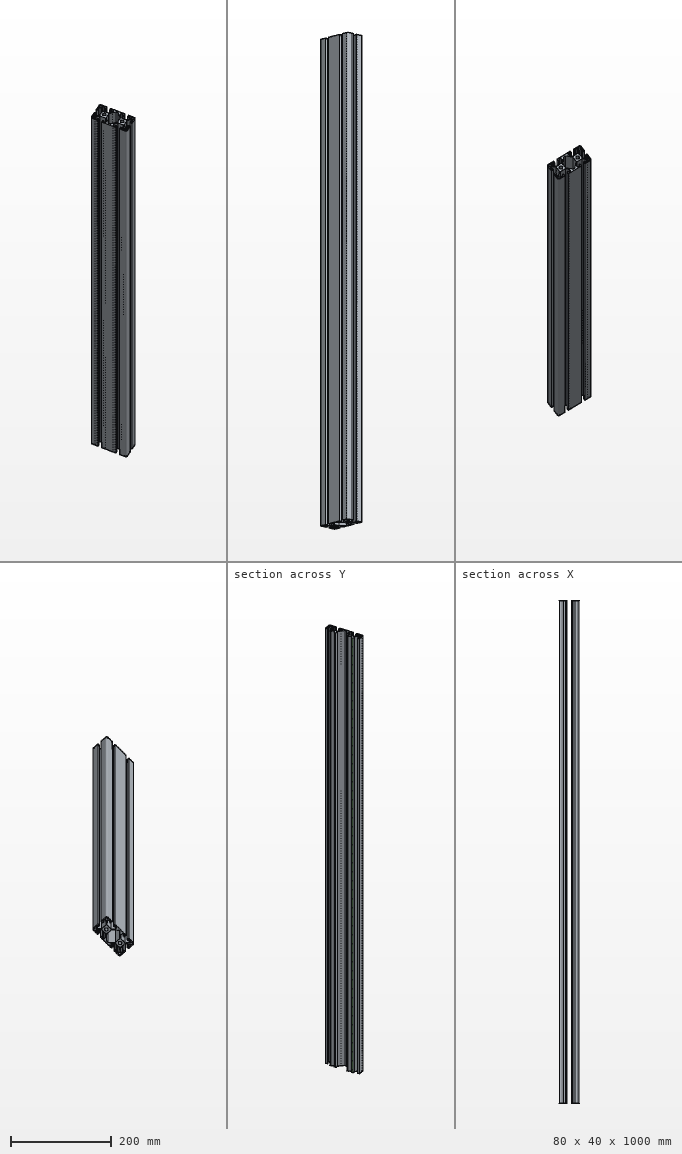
import cadquery as cq

LENGTH = 1000.0
CELL = 40.0
WIDTH = 2 * CELL
HALF_CELL = CELL / 2
EDGE_RADIUS = 3.0

MOUTH_WIDTH = 8.2
HOOK_THICKNESS = 2.9
HOOK_DEPTH = 5.0
SKIN = 2.5
SLOT_WIDTH = 23.0
SLOT_SHOULDER_DEPTH = 6.5
SLOT_FLOOR_WIDTH = 12.0

CORE = 15.0
SLOT_DEPTH = HALF_CELL - CORE / 2
CORE_BORE_DIAMETER = 6.8

CORNER_BORE_DIAMETER = 5.0
CORNER_BORE_INSET = 4.5

HOLLOW_WIDTH = 2 * SLOT_DEPTH
HOLLOW_WALL = 3.5
HOLLOW_HEIGHT = CELL - 2 * HOLLOW_WALL
HOLLOW_TOP_WIDTH = 4.0
HOLLOW_CHAMFER = (HOLLOW_WIDTH - HOLLOW_TOP_WIDTH) / 2

CELL_CENTRES = [(-HALF_CELL, 0), (HALF_CELL, 0)]


def blank():
    bar = cq.Workplane("XY").box(WIDTH, CELL, LENGTH)
    return bar.edges("|Z").fillet(EDGE_RADIUS)


def slot():
    """T-slot opening toward +Y in a cell centred on the origin."""
    mouth = MOUTH_WIDTH / 2
    hook = mouth + HOOK_THICKNESS
    side = SLOT_WIDTH / 2
    right_half = [
        (mouth, HALF_CELL),
        (mouth, HALF_CELL - HOOK_DEPTH),
        (hook, HALF_CELL - HOOK_DEPTH),
        (hook, HALF_CELL - SKIN),
        (side, HALF_CELL - SKIN),
        (side, HALF_CELL - SLOT_SHOULDER_DEPTH),
        (SLOT_FLOOR_WIDTH / 2, HALF_CELL - SLOT_DEPTH),
    ]
    left_half = [(-x, y) for x, y in reversed(right_half)]
    outline = cq.Workplane("XY").polyline(right_half + left_half).close()
    return outline.extrude(LENGTH / 2, both=True)


def cut_slots(bar):
    """One slot on every side of each cell, except where the cells meet."""
    cutter = slot()
    for centre, outer_end_angle in zip(CELL_CENTRES, (90, -90)):
        for angle in (0, 180, outer_end_angle):
            turned = cutter.rotate((0, 0, 0), (0, 0, 1), angle)
            bar = bar.cut(turned.translate((*centre, 0)))
    return bar


def bores(centres, diameter):
    return cq.Workplane("XY").pushPoints(centres).circle(diameter / 2).extrude(LENGTH / 2, both=True)


def corner_bores():
    x = WIDTH / 2 - CORNER_BORE_INSET
    y = HALF_CELL - CORNER_BORE_INSET
    return bores([(x, y), (-x, y), (-x, -y), (x, -y)], CORNER_BORE_DIAMETER)


def central_hollow():
    block = cq.Workplane("XY").box(HOLLOW_WIDTH, HOLLOW_HEIGHT, LENGTH)
    return block.edges("|Z").chamfer(HOLLOW_CHAMFER)


result = cut_slots(blank())
result = result.cut(bores(CELL_CENTRES, CORE_BORE_DIAMETER))
result = result.cut(corner_bores())
result = result.cut(central_hollow())